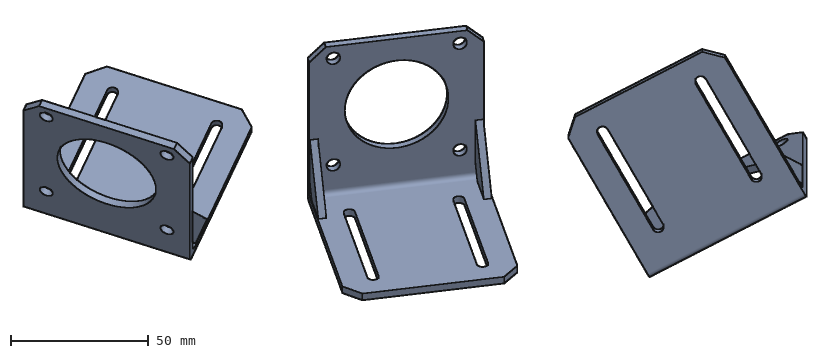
import cadquery as cq

width = 65.0
leg_length = 68.0
thickness = 3.0
bend_radius = 2.0
corner_across = 6.2
corner_along = 6.0

motor_center_height = 39.0
pilot_diameter = 38.5
screw_spacing = 47.05
screw_diameter = 5.0

slot_spacing = 40.65
slot_width = 4.15
slot_start = 14.1
slot_end = 60.2

gusset_inset = 0.3
gusset_width = 3.0
gusset_depth = 14.95
gusset_height = 24.8
gusset_gap_depth = 3.3
gusset_gap_height = gusset_gap_depth * gusset_height / gusset_depth


def angle_profile():
    """L section extruded across the width, with both sides of the bend rounded."""
    section = (
        cq.Workplane("YZ")
        .moveTo(0, 0)
        .lineTo(leg_length, 0)
        .lineTo(leg_length, thickness)
        .lineTo(thickness, thickness)
        .lineTo(thickness, leg_length)
        .lineTo(0, leg_length)
        .close()
    )
    angle = section.extrude(width / 2, both=True)
    outer_edge = cq.selectors.NearestToPointSelector((0, 0, 0))
    inner_edge = cq.selectors.NearestToPointSelector((0, thickness, thickness))
    return angle.edges(outer_edge).fillet(bend_radius).edges(inner_edge).fillet(bend_radius)


def corner_cutter(plane, side, direction):
    """Triangular prism that cuts one free corner of a leg."""
    edge = side * width / 2
    return (
        cq.Workplane(plane)
        .moveTo(edge, leg_length)
        .lineTo(edge - side * corner_across, leg_length)
        .lineTo(edge, leg_length - corner_along)
        .close()
        .extrude(direction * thickness)
    )


def motor_holes():
    """Central pilot bore and four screw holes through the upright plate."""
    center = cq.Workplane("XZ").center(0, motor_center_height)
    pilot = center.circle(pilot_diameter / 2).extrude(-thickness)
    screws = (
        center.rect(screw_spacing, screw_spacing, forConstruction=True)
        .vertices()
        .circle(screw_diameter / 2)
        .extrude(-thickness)
    )
    return pilot.union(screws)


def base_slots():
    """Two round-ended slots through the base plate."""
    slot_middle = (slot_start + slot_end) / 2
    return (
        cq.Workplane("XY")
        .pushPoints([(-slot_spacing / 2, slot_middle), (slot_spacing / 2, slot_middle)])
        .slot2D(slot_end - slot_start, slot_width, 90)
        .extrude(thickness)
    )


def gusset(side):
    """Sloping brace near one side edge, leaving the inside of the bend open."""
    middle = side * (width / 2 - gusset_inset - gusset_width / 2)
    return (
        cq.Workplane("YZ", origin=(middle, thickness, thickness))
        .moveTo(gusset_gap_depth, 0)
        .lineTo(gusset_depth, 0)
        .lineTo(0, gusset_height)
        .lineTo(0, gusset_gap_height)
        .close()
        .extrude(gusset_width / 2, both=True)
    )


result = angle_profile().cut(motor_holes()).cut(base_slots())
for side in (-1, 1):
    result = result.cut(corner_cutter("XY", side, 1))
    result = result.cut(corner_cutter("XZ", side, -1))
    result = result.union(gusset(side))